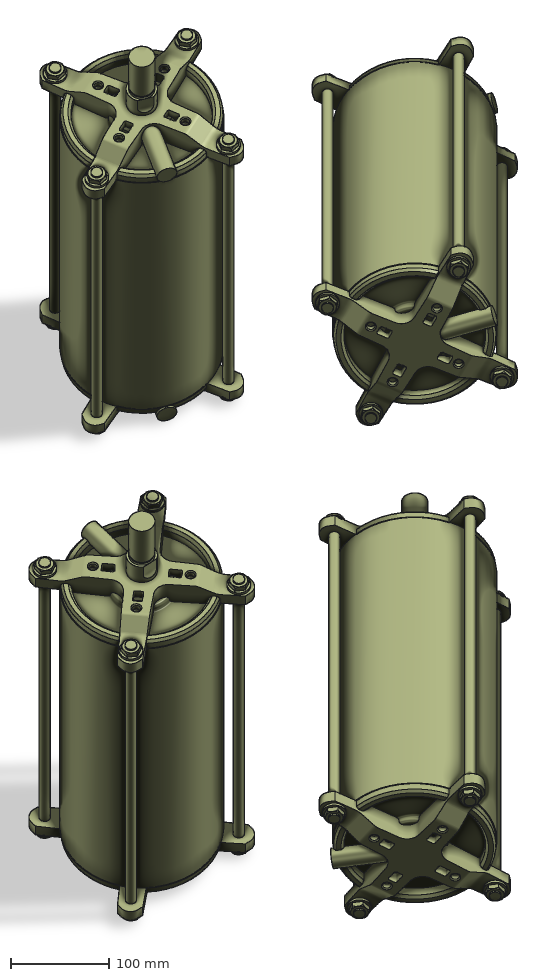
import cadquery as cq
import math

total_height = 505.0
housing_height = 427.0
cover_height = 24.5
mid_height = housing_height / 2
mount_plane = housing_height - cover_height

barrel_diameter = 167.0

plate_diameter = 165.0
rim_outer_diameter = 160.0
rim_inner_diameter = 150.0
floor_diameter = 144.0
rim_height = 10.5
rim_chamfer_height = 3.0
floor_depth = 2.0
plate_thickness = 5.0

collar_diameter = 67.5
collar_height = 7.0
collar_foot_fillet = 3.0
collar_top_fillet = 3.5

square_side = 170.0
arm_root_width = 33.0
arm_end_width = 25.0
arm_reach = 116.0
tip_fillet = 12.0
hub_block_diameter = 96.0
hub_fillet = 15.0
tip_height = 13.5
slope_start = 57.5
slope_end = 79.0
slope_top_fillet = 10.0
slope_foot_fillet = 15.0

pocket_distance = 34.5
pocket_length = 13.5
pocket_width = 10.0
pocket_corner = 2.0
pocket_inner_depth = 9.5
pocket_outer_depth = 13.0
blind_hole_distance = 50.0
blind_hole_diameter = 8.5
blind_hole_mouth = 11.0
blind_hole_countersink = 1.25
blind_hole_depth = 7.0
drill_tip_angle = 118

port_diameter = 21.0
port_axis_height = 10.5

tie_offset = 70.0
tie_places = [(x, y) for x in (-tie_offset, tie_offset) for y in (-tie_offset, tie_offset)]
tie_diameter = 11.5
thread_diameter = 12.0
washer_diameter = 24.0
washer_thickness = 3.0
nut_corner_diameter = 21.0
nut_height = 6.0
nut_chamfer = 1.5

rod_diameter = 32.0
rod_end_diameter = 27.0
groove_diameter = 24.0
groove_bottom = 451.5
groove_top = 455.5
flat_bottom = 438.0
flat_run_out_radius = 8.5


def disc(diameter, bottom, height, x=0.0, y=0.0):
    return cq.Workplane("XY").center(x, y).circle(diameter / 2).extrude(height).translate((0, 0, bottom))


def bar(length, width, height):
    return cq.Workplane("XY").rect(length, width).extrude(height)


def turned(part, angle):
    return part.rotate((0, 0, 0), (0, 0, 1), angle)


def cover_plate():
    """Turned profile; z = 0 is the mount plane."""
    collar_radius = collar_diameter / 2
    collar_top = collar_height - floor_depth
    profile = (
        cq.Workplane("XZ")
        .moveTo(0, -floor_depth - plate_thickness)
        .lineTo(plate_diameter / 2, -floor_depth - plate_thickness)
        .lineTo(plate_diameter / 2, rim_height - rim_chamfer_height)
        .lineTo(rim_outer_diameter / 2, rim_height)
        .lineTo(rim_inner_diameter / 2, rim_height)
        .lineTo(floor_diameter / 2, rim_height - rim_chamfer_height)
        .lineTo(floor_diameter / 2, -floor_depth)
        .lineTo(collar_radius + collar_foot_fillet, -floor_depth)
        .radiusArc((collar_radius, -floor_depth + collar_foot_fillet), collar_foot_fillet)
        .lineTo(collar_radius, collar_top - collar_top_fillet)
        .radiusArc((collar_radius - collar_top_fillet, collar_top), -collar_top_fillet)
        .lineTo(0, collar_top)
        .close()
    )
    return profile.revolve(360, (0, 0, 0), (0, 1, 0))


def tapered_bar(height):
    """Bar along X, widest at the middle."""
    root = arm_root_width / 2
    end = arm_end_width / 2
    outline = [(-arm_reach, -end), (0, -root), (arm_reach, -end), (arm_reach, end), (0, root), (-arm_reach, end)]
    return cq.Workplane("XY").polyline(outline).close().extrude(height)


def arm_cross():
    """Plan shape of the four arms, with rounded hub corners and rounded tips on the square."""
    height = cover_height + floor_depth
    cross = tapered_bar(height).union(turned(tapered_bar(height), 90))
    hub_zone = cq.selectors.BoxSelector(
        (-arm_root_width, -arm_root_width, 0), (arm_root_width, arm_root_width, height)
    )
    cross = turned(cross.edges("|Z").edges(hub_zone).fillet(hub_fillet), 45)
    square = bar(square_side, square_side, height).edges("|Z").fillet(tip_fillet)
    return cross.intersect(square).translate((0, 0, -floor_depth))


def near_point(x, z):
    """Picks the edge along Y whose middle is closest to (x, 0, z)."""
    return cq.selectors.NearestToPointSelector((x, 0, z))


def arm_side_shape():
    """Side shape of a pair of arms along X: full height at the hub, a slope, then the low tips."""
    half = (
        cq.Workplane("XZ")
        .moveTo(0, 0)
        .lineTo(arm_reach, 0)
        .lineTo(arm_reach, tip_height)
        .lineTo(slope_end, tip_height)
        .lineTo(slope_start, cover_height)
        .lineTo(0, cover_height)
        .close()
        .extrude(arm_root_width / 2, both=True)
    )
    half = half.edges(near_point(slope_start, cover_height)).fillet(slope_top_fillet)
    half = half.edges(near_point(slope_end, tip_height)).fillet(slope_foot_fillet)
    return half.union(half.mirror("YZ"))


def arms():
    pair = arm_side_shape()
    envelope = turned(pair.union(turned(pair, 90)), 45)
    hub = disc(hub_block_diameter, 0, cover_height)
    sunk = disc(floor_diameter, -floor_depth, floor_depth)
    return arm_cross().intersect(envelope.union(hub).union(sunk))


def arm_opening():
    """Rounded pocket with a ramped floor, and a drilled, countersunk hole, in an arm along X."""
    inner = pocket_distance - pocket_length / 2
    outer = pocket_distance + pocket_length / 2
    ramp_half_length = pocket_length / 6
    pocket = (
        cq.Workplane("XZ")
        .polyline([
            (inner, cover_height),
            (inner, cover_height - pocket_inner_depth),
            (pocket_distance - ramp_half_length, cover_height - pocket_inner_depth),
            (pocket_distance + ramp_half_length, cover_height - pocket_outer_depth),
            (outer, cover_height - pocket_outer_depth),
            (outer, cover_height),
        ])
        .close()
        .extrude(pocket_width / 2, both=True)
        .edges("|Z").fillet(pocket_corner)
    )
    radius = blind_hole_diameter / 2
    hole_bottom = cover_height - blind_hole_depth
    tip_depth = radius / math.tan(math.radians(drill_tip_angle / 2))
    drill = (
        cq.Workplane("XZ")
        .polyline([
            (0, hole_bottom - tip_depth),
            (radius, hole_bottom),
            (radius, cover_height - blind_hole_countersink),
            (blind_hole_mouth / 2, cover_height),
            (0, cover_height),
        ])
        .close()
        .revolve(360, (0, 0, 0), (0, 1, 0))
        .translate((blind_hole_distance, 0, 0))
    )
    return pocket.union(drill)


def side_port():
    return cq.Workplane("YZ").center(0, port_axis_height).circle(port_diameter / 2).extrude(square_side / 2)


def nut_with_washer():
    """Stands on z = 0."""
    hexagon = cq.Workplane("XY").polygon(6, nut_corner_diameter).extrude(nut_height)
    blank = disc(nut_corner_diameter, 0, nut_height).faces(">Z").chamfer(nut_chamfer)
    nut = hexagon.intersect(blank).translate((0, 0, washer_thickness))
    return nut.union(disc(washer_diameter, 0, washer_thickness))


def end_cover():
    cover = cover_plate().union(arms()).union(side_port())
    for angle in (45, 135, 225, 315):
        cover = cover.cut(turned(arm_opening(), angle))
    for x, y in tie_places:
        cover = cover.union(nut_with_washer().translate((x, y, tip_height)))
    return cover


def barrel():
    """Tube ends take the sunken floors of the covers."""
    body = disc(barrel_diameter, cover_height, mount_plane - cover_height)
    for recess_bottom in (cover_height, mount_plane - floor_depth):
        body = body.cut(disc(floor_diameter, recess_bottom, floor_depth))
    return body


def tie_rod(x, y):
    """Shank between the covers, with a thread in each nut."""
    shank = disc(tie_diameter, cover_height, mount_plane - cover_height, x, y)
    thread = disc(thread_diameter, 0, cover_height, x, y)
    return shank.union(thread).union(thread.translate((0, 0, mount_plane)))


def make_housing():
    top_cover = end_cover().translate((0, 0, mount_plane))
    bottom_cover = top_cover.mirror("XY", (0, 0, mid_height))
    housing = barrel().union(top_cover).union(bottom_cover)
    for x, y in tie_places:
        housing = housing.union(tie_rod(x, y))
    rod_socket = disc(rod_diameter, mount_plane, cover_height)
    return housing.cut(rod_socket)


def flat_cut():
    """Removes one flat on the +X side; a round cutter leaves the curved lower end."""
    length = groove_bottom - flat_bottom
    flat = bar(rod_diameter, 2 * rod_diameter, length)
    flat = flat.translate((rod_end_diameter / 2 + rod_diameter / 2, 0, flat_bottom))
    run_out = (
        cq.Workplane("XZ")
        .center(rod_end_diameter / 2 + flat_run_out_radius, flat_bottom)
        .circle(flat_run_out_radius)
        .extrude(rod_diameter, both=True)
    )
    return flat.union(run_out)


def make_piston_rod():
    shank = disc(rod_diameter, mount_plane, groove_bottom - mount_plane)
    for angle in (0, 180):
        shank = shank.cut(turned(flat_cut(), angle))
    end_radius = rod_end_diameter / 2
    groove_radius = groove_diameter / 2
    flank = end_radius - groove_radius
    end = (
        cq.Workplane("XZ")
        .polyline([
            (0, groove_bottom),
            (end_radius, groove_bottom),
            (groove_radius, groove_bottom + flank),
            (groove_radius, groove_top - flank),
            (end_radius, groove_top),
            (end_radius, total_height),
            (0, total_height),
        ])
        .close()
        .revolve(360, (0, 0, 0), (0, 1, 0))
    )
    return shank.union(end)


housing = make_housing()
piston_rod = make_piston_rod()
result = cq.Compound.makeCompound([housing.val(), piston_rod.val()])